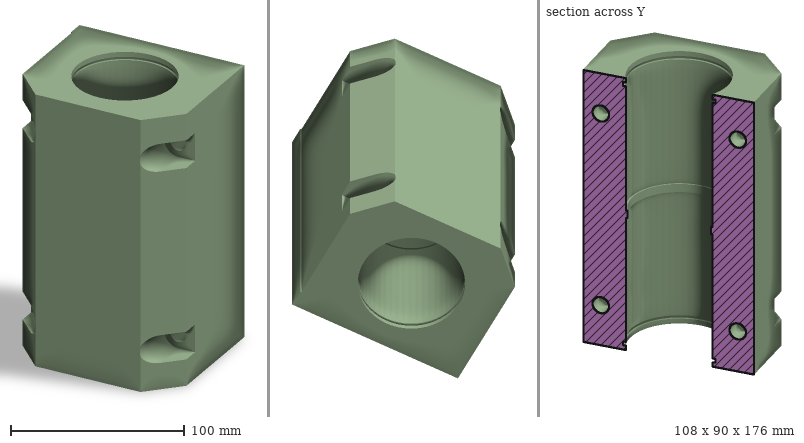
import cadquery as cq

length = 176.0
width = 108.0
depth = 90.0
right_x = width / 2
left_x = -width / 2
back_y = depth / 2
front_y = -depth / 2

ledge_step = 0.7
ledge_depth = 10.0
body_left_x = left_x + ledge_step
ledge_y = back_y - ledge_depth

front_flat_half_width = 34.5
bevel = right_x - front_flat_half_width
bevel_y = front_y + bevel

bore_diameter = 60.0
seat_diameter = 62.0
seat_length = 85.4
mouth_depth = 3.2
groove_diameter = 65.0
groove_width = 2.1

hole_diameter = 10.0
hole_x = 43.0
hole_end_distance = 26.0
hole_z = length / 2 - hole_end_distance
recess_width = 18.0
recess_depth = 30.0
recess_floor_y = front_y + recess_depth


def block():
    outline = [
        (left_x, back_y),
        (right_x, back_y),
        (right_x, bevel_y),
        (front_flat_half_width, front_y),
        (-front_flat_half_width, front_y),
        (body_left_x, bevel_y),
        (body_left_x, ledge_y),
        (left_x, ledge_y),
    ]
    return cq.Workplane("XY").workplane(offset=-length / 2).polyline(outline).close().extrude(length)


def bore():
    """Revolved half-section of the through bore with its bearing seats and grooves."""
    end_z = length / 2
    groove_outer_z = end_z - mouth_depth
    groove_inner_z = groove_outer_z - groove_width
    seat_end_z = end_z - seat_length
    upper_wall = [
        (seat_diameter / 2, end_z),
        (seat_diameter / 2, groove_outer_z),
        (groove_diameter / 2, groove_outer_z),
        (groove_diameter / 2, groove_inner_z),
        (seat_diameter / 2, groove_inner_z),
        (seat_diameter / 2, seat_end_z),
        (bore_diameter / 2, seat_end_z),
    ]
    lower_wall = [(radius, -z) for radius, z in reversed(upper_wall)]
    section = [(0, end_z)] + upper_wall + lower_wall + [(0, -end_z)]
    return cq.Workplane("XZ").polyline(section).close().revolve(360, (0, 0), (0, 1))


def cylinder_along_y(diameter, x, z, start_y, end_y):
    return (
        cq.Workplane("XZ", origin=(0, start_y, 0))
        .center(x, z)
        .circle(diameter / 2)
        .extrude(start_y - end_y)
    )


def mounting_cut(side, z):
    """Through hole and round-ended recess; side is +1 for right, -1 for left."""
    x = side * hole_x
    hole = cylinder_along_y(hole_diameter, x, z, back_y, front_y)
    rounded_end = cylinder_along_y(recess_width, x, z, recess_floor_y, front_y)
    opening_length = width / 2 - hole_x
    opening = cq.Workplane("XY").box(opening_length, recess_depth, recess_width).translate(
        (side * (hole_x + opening_length / 2), front_y + recess_depth / 2, z)
    )
    return hole.union(rounded_end).union(opening)


result = block().cut(bore())
for side in (-1, 1):
    for z in (-hole_z, hole_z):
        result = result.cut(mounting_cut(side, z))